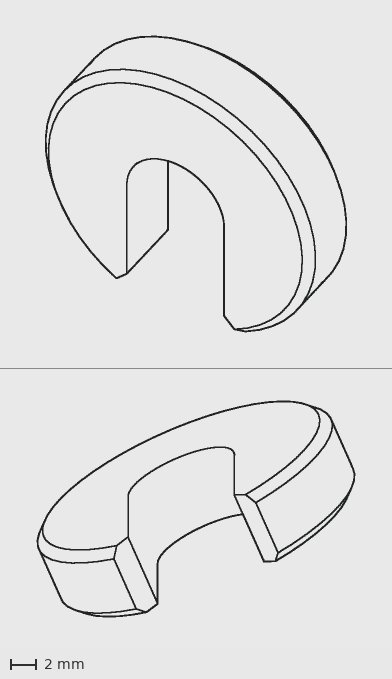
import cadquery as cq

outer_diameter = 24.97
thickness = 6.0
rim_chamfer = 0.75
slot_width = 9.0
straight_wall_depth = 9.45

outer_radius = outer_diameter / 2
slot_radius = slot_width / 2


def make_disc():
    """Solid disc centred on the origin, with both rims chamfered."""
    disc = cq.Workplane("XZ").circle(outer_radius).extrude(thickness / 2, both=True)
    return disc.edges("%CIRCLE").chamfer(rim_chamfer)


def make_slot_cutter():
    """Round-topped slot whose mouth widens at 45 degrees through the rim."""
    mouth_drop = outer_radius - straight_wall_depth
    mouth_half_width = slot_radius + mouth_drop
    return (
        cq.Workplane("XZ")
        .moveTo(-slot_radius, 0)
        .threePointArc((0, slot_radius), (slot_radius, 0))
        .lineTo(slot_radius, -straight_wall_depth)
        .lineTo(mouth_half_width, -outer_radius)
        .lineTo(-mouth_half_width, -outer_radius)
        .lineTo(-slot_radius, -straight_wall_depth)
        .close()
        .extrude(thickness, both=True)
    )


result = make_disc().cut(make_slot_cutter())